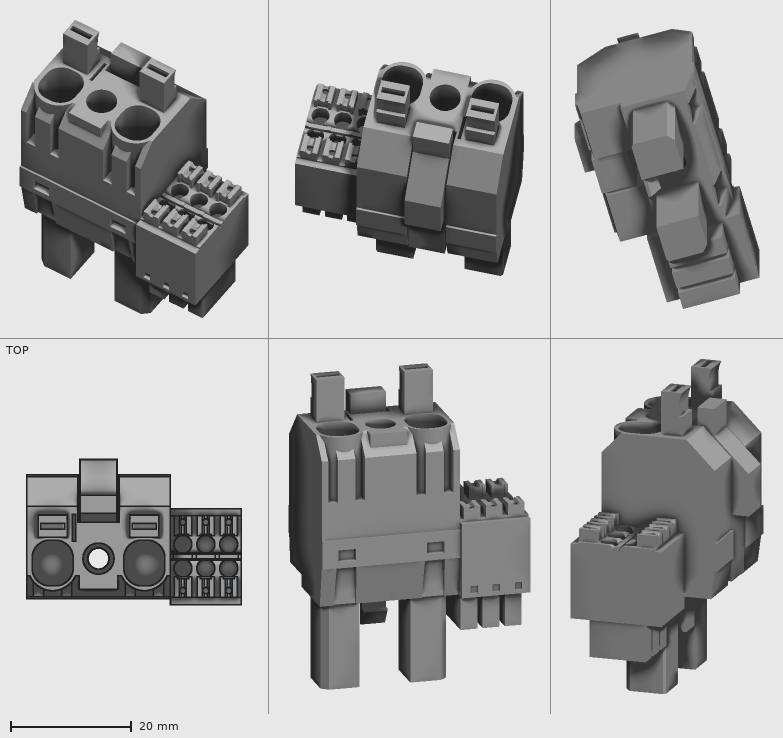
import cadquery as cq


POWER_WIDTH = 23.8
POWER_MID_X = POWER_WIDTH / 2
POLE_PITCH = 15.2
POLE_XS = [POWER_MID_X - POLE_PITCH / 2, POWER_MID_X + POLE_PITCH / 2]
POWER_DEPTH = 19.85
POWER_TOP = 44.7
POWER_BOTTOM = 15.4
REAR_BOTTOM = 17.55
FRONT_CHAMFER_Y = 3.45
FRONT_CHAMFER_Z = 3.6
REAR_CHAMFER = 4.9
BAND_TOP = 27.25
BAND_BOTTOM = 22.35
BAND_PROUD = 0.35
FRONT_TAPER = 1.2
REAR_TAPER = 0.6

ENTRY_WIDTH = 6.85
ENTRY_LENGTH = 7.6
ENTRY_CORNER_RADIUS = 2.95
ENTRY_FRONT_Y = 1.75
ENTRY_FLOOR = 31.25
SLEEVE_RADIUS = 4.15
SLEEVE_Y = 5.15
GROOVE_INNER = 1.5
GROOVE_OUTER = 3.2
GROOVE_FLOOR = 33.65

SCREW_Y = 6.3
SCREW_DIAMETER = 3.5
SCREW_HEAD_DIAMETER = 5.15
SCREW_HEAD_DEPTH = 10.4
BOSS_WIDTH = 6.35
BOSS_FRONT_Y = 1.2

WINDOW_WIDTH = 3.0
WINDOW_TOP = 25.5
WINDOW_BOTTOM = 23.45
WINDOW_DEPTH = 1.15
RECESS_TOP_WIDTH = 3.45
RECESS_BOTTOM_WIDTH = 3.85
RECESS_BACK_Y = FRONT_TAPER + 0.4
SLOT_X = 7.55
SLOT_WIDTH = 0.55
SLOT_FRONT_Y = 9.15
SLOT_LENGTH = 4.5
SLOT_DEPTH = 5.2

PRONG_WIDTH = 6.45
PRONG_FRONT_Y = 3.6
PRONG_REAR_Y = 10.85
PRONG_OUTER_EDGE = POLE_PITCH / 2 + 3.25
PRONG_BEVEL_X = 1.2
PRONG_BEVEL_Y = 1.05
PRONG_REAR_BEVEL = 0.35

CHANNEL_WIDTH = 6.8
CHANNEL_FRONT_Y = 12.35
LEVER_WIDTH = 6.15
LEVER_TOP = 47.75
LEVER_FRONT_Y = 13.8
LEVER_HEAD_REAR_Y = 16.8
LEVER_HEAD_REAR_Z = 43.0
LEVER_PAD_REAR_Y = 22.75
LEVER_PAD_TOP = 37.1
LEVER_PAD_BOTTOM = 29.75
LEVER_BOTTOM = 18.25
HINGE_TOP = 34.4
HINGE_BOTTOM = 30.2
HOOK_WIDTH = 4.15
HOOK_REAR_Y = 11.5
HOOK_BOTTOM = 8.4
HOOK_TIP_Y = 10.95
HOOK_NOSE_Y = 9.4
HOOK_NOSE_BOTTOM = 11.0
HOOK_NOSE_TOP = 11.35
HOOK_SHANK_Y = 10.15

BUTTON_WIDTH = 4.85
BUTTON_FRONT_Y = 9.85
BUTTON_REAR_Y = 13.6
BUTTON_TOP = 52.1
BUTTON_BOTTOM = 36.5
BUTTON_LEDGE = 48.0
BUTTON_GRIP_Y = 13.0
BUTTON_GRIP_TOP = 50
BUTTON_LIP_Y = 13.5
BUTTON_SLOT_WIDTH = 3.95
BUTTON_SLOT_FRONT_Y = 11.15
BUTTON_SLOT_LENGTH = 1.05
BUTTON_SLOT_DEPTH = 1.55

SIGNAL_RIGHT = 35.6
SIGNAL_MID_X = (POWER_WIDTH + SIGNAL_RIGHT) / 2
SIGNAL_PITCH = 3.8
SIGNAL_XS = [SIGNAL_MID_X + step * SIGNAL_PITCH for step in (-1, 0, 1)]
SIGNAL_FRONT_Y = -1.35
SIGNAL_REAR_Y = 14.6
SIGNAL_MID_Y = 6.65
SIGNAL_BOTTOM = 15.6
WALL_TOP = 28.5
DECK_TOP = 28.85
DECK_FRONT_Y = -0.1
DECK_EDGE_RADIUS = 0.8
VALLEY_HALF_WIDTH = 0.6
VALLEY_DEPTH = 1.05
VALLEY_FLOOR = DECK_TOP - VALLEY_DEPTH
FIN_HALF_WIDTH = 0.35
FIN_TOP = 28.65
FIN_NOTCH_WIDTH = 3.15
FIN_NOTCH_DEPTH = 0.15
SIGNAL_ENTRY_DIAMETER = 2.95
SIGNAL_ENTRY_Y = 4.7
SIGNAL_ENTRY_FLOOR = 26.05
SIGNAL_WINDOW_WIDTH = 1.25
SIGNAL_WINDOW_TOP = 17.55
SIGNAL_WINDOW_BOTTOM = 16.2
SIGNAL_WINDOW_DEPTH = 0.7
SIGNAL_PRONG_WIDTH = 2.9
SIGNAL_PRONG_FRONT_Y = 1.75
SIGNAL_PRONG_REAR_Y = 11.6
SIGNAL_PRONG_BOTTOM = 9.0

PUSHER_WIDTH = 2.85
PUSHER_REAR_Y = 3.3
PUSHER_TOP = 31.0
PUSHER_BOTTOM = 25
PUSHER_GROOVE_TOP_WIDTH = 1.2
PUSHER_GROOVE_FLOOR_WIDTH = 0.5
PUSHER_GROOVE_DEPTH = 0.45
PUSHER_HOLE_DIAMETER = 1.1
PUSHER_HOLE_Y = 1.1
PUSHER_HOLE_DEPTH = 1.05
PUSHER_NOTCH_WIDTH = 1.9
PUSHER_NOTCH_LENGTH = 0.3
PUSHER_NOTCH_DEPTH = 2.1


def block(x0, x1, y0, y1, z0, z1):
    """Box between two opposite corners."""
    return cq.Workplane("XY").box(x1 - x0, y1 - y0, z1 - z0, centered=False).translate((x0, y0, z0))


def centred_block(mid_x, width, y0, y1, z0, z1):
    """Box that is symmetric about a given X."""
    return block(mid_x - width / 2, mid_x + width / 2, y0, y1, z0, z1)


def side_profile(points, x0, width):
    """Closed (Y, Z) outline extruded along +X from x0."""
    return cq.Workplane("YZ", origin=(x0, 0, 0)).polyline(points).close().extrude(width)


def upright_cylinder(x, y, diameter, z0, z1):
    return cq.Workplane("XY", origin=(x, y, z0)).circle(diameter / 2).extrude(z1 - z0)


def mirrored_row(shape):
    """Copy of a front-row shape in the rear row of the signal housing."""
    return shape.mirror("XZ", (0, SIGNAL_MID_Y, 0))


def power_body():
    outline = [
        (FRONT_TAPER, POWER_BOTTOM),
        (0, BAND_BOTTOM),
        (-BAND_PROUD, BAND_BOTTOM),
        (-BAND_PROUD, BAND_TOP),
        (0, BAND_TOP),
        (0, POWER_TOP - FRONT_CHAMFER_Z),
        (FRONT_CHAMFER_Y, POWER_TOP),
        (POWER_DEPTH - REAR_CHAMFER, POWER_TOP),
        (POWER_DEPTH, POWER_TOP - REAR_CHAMFER),
        (POWER_DEPTH, BAND_TOP),
        (POWER_DEPTH + BAND_PROUD, BAND_TOP),
        (POWER_DEPTH + BAND_PROUD, BAND_BOTTOM),
        (POWER_DEPTH, BAND_BOTTOM),
        (POWER_DEPTH - REAR_TAPER, REAR_BOTTOM),
        (CHANNEL_FRONT_Y, REAR_BOTTOM),
        (CHANNEL_FRONT_Y, POWER_BOTTOM),
    ]
    return side_profile(outline, 0, POWER_WIDTH)


def sleeve(x):
    return upright_cylinder(x, SLEEVE_Y, 2 * SLEEVE_RADIUS, GROOVE_FLOOR, POWER_TOP)


def sleeve_groove(x, side):
    """Front groove beside the middle of a sleeve, open at the top."""
    near, far = sorted((x + side * GROOVE_INNER, x + side * GROOVE_OUTER))
    return block(near, far, 0, SLEEVE_Y, GROOVE_FLOOR, POWER_TOP)


def wire_entry(x):
    """Wire hole with generously rounded corners."""
    rear_y = ENTRY_FRONT_Y + ENTRY_LENGTH
    entry = centred_block(x, ENTRY_WIDTH, ENTRY_FRONT_Y, rear_y, ENTRY_FLOOR, POWER_TOP)
    return entry.edges("|Z").fillet(ENTRY_CORNER_RADIUS)


def lower_recess(x):
    """Upright recess in the tapered front, a little wider at the bottom."""
    half_top = RECESS_TOP_WIDTH / 2
    half_bottom = RECESS_BOTTOM_WIDTH / 2
    outline = [
        (x - half_bottom, POWER_BOTTOM),
        (x + half_bottom, POWER_BOTTOM),
        (x + half_top, BAND_BOTTOM),
        (x - half_top, BAND_BOTTOM),
    ]
    return cq.Workplane("XZ", origin=(0, RECESS_BACK_Y, 0)).polyline(outline).close().extrude(RECESS_BACK_Y)


def screw_hole():
    head = upright_cylinder(
        POWER_MID_X, SCREW_Y, SCREW_HEAD_DIAMETER, POWER_TOP - SCREW_HEAD_DEPTH, POWER_TOP
    )
    return head.union(upright_cylinder(POWER_MID_X, SCREW_Y, SCREW_DIAMETER, POWER_BOTTOM, POWER_TOP))


def prong(side):
    """Contact prong with both edges of its outer side bevelled; side is -1 for left, +1 for right."""
    outer = POWER_MID_X + side * PRONG_OUTER_EDGE
    inner = outer - side * PRONG_WIDTH
    outline = [
        (inner, PRONG_FRONT_Y),
        (outer - side * PRONG_BEVEL_X, PRONG_FRONT_Y),
        (outer, PRONG_FRONT_Y + PRONG_BEVEL_Y),
        (outer, PRONG_REAR_Y - PRONG_REAR_BEVEL),
        (outer - side * PRONG_REAR_BEVEL, PRONG_REAR_Y),
        (inner, PRONG_REAR_Y),
    ]
    return cq.Workplane("XY").polyline(outline).close().extrude(POWER_BOTTOM)


def locking_lever():
    """Lever in the rear channel, joined to the front of the channel by a hinge web."""
    outline = [
        (LEVER_FRONT_Y, LEVER_BOTTOM),
        (POWER_DEPTH, LEVER_BOTTOM),
        (POWER_DEPTH, LEVER_PAD_BOTTOM),
        (LEVER_PAD_REAR_Y, LEVER_PAD_BOTTOM),
        (LEVER_PAD_REAR_Y, LEVER_PAD_TOP),
        (LEVER_HEAD_REAR_Y, LEVER_HEAD_REAR_Z),
        (LEVER_HEAD_REAR_Y, LEVER_TOP),
        (LEVER_FRONT_Y, LEVER_TOP),
        (LEVER_FRONT_Y, HINGE_TOP),
        (CHANNEL_FRONT_Y, HINGE_TOP),
        (CHANNEL_FRONT_Y, HINGE_BOTTOM),
        (LEVER_FRONT_Y, HINGE_BOTTOM),
    ]
    return side_profile(outline, POWER_MID_X - LEVER_WIDTH / 2, LEVER_WIDTH)


def locking_hook():
    outline = [
        (HOOK_REAR_Y, POWER_BOTTOM),
        (HOOK_REAR_Y, HOOK_BOTTOM),
        (HOOK_TIP_Y, HOOK_BOTTOM),
        (HOOK_NOSE_Y, HOOK_NOSE_BOTTOM),
        (HOOK_NOSE_Y, HOOK_NOSE_TOP),
        (HOOK_SHANK_Y, HOOK_NOSE_TOP),
        (HOOK_SHANK_Y, POWER_BOTTOM),
    ]
    return side_profile(outline, POWER_MID_X - HOOK_WIDTH / 2, HOOK_WIDTH)


def make_power_housing():
    housing = power_body()
    for x in POLE_XS:
        for side in (-1, 1):
            housing = housing.cut(sleeve_groove(x, side))
        housing = housing.union(sleeve(x))
    boss_bottom = POWER_TOP - FRONT_CHAMFER_Z
    boss = centred_block(POWER_MID_X, BOSS_WIDTH, BOSS_FRONT_Y, SCREW_Y, boss_bottom, POWER_TOP)
    housing = housing.union(boss).cut(screw_hole())
    for x in POLE_XS:
        window = centred_block(
            x, WINDOW_WIDTH, -BAND_PROUD, WINDOW_DEPTH - BAND_PROUD, WINDOW_BOTTOM, WINDOW_TOP
        )
        button_seat = centred_block(
            x, BUTTON_WIDTH, BUTTON_FRONT_Y, BUTTON_REAR_Y, BUTTON_BOTTOM, POWER_TOP
        )
        housing = housing.cut(wire_entry(x)).cut(window).cut(lower_recess(x)).cut(button_seat)
    top_slot = block(
        SLOT_X,
        SLOT_X + SLOT_WIDTH,
        SLOT_FRONT_Y,
        SLOT_FRONT_Y + SLOT_LENGTH,
        POWER_TOP - SLOT_DEPTH,
        POWER_TOP,
    )
    channel = centred_block(
        POWER_MID_X, CHANNEL_WIDTH, CHANNEL_FRONT_Y, POWER_DEPTH + BAND_PROUD, POWER_BOTTOM, POWER_TOP
    )
    housing = housing.cut(top_slot).cut(channel)
    housing = housing.union(locking_lever()).union(locking_hook())
    for side in (-1, 1):
        housing = housing.union(prong(side))
    return housing


def make_power_button(x):
    button = (
        cq.Workplane("YZ", origin=(x - BUTTON_WIDTH / 2, 0, 0))
        .moveTo(BUTTON_FRONT_Y, BUTTON_BOTTOM)
        .lineTo(BUTTON_REAR_Y, BUTTON_BOTTOM)
        .lineTo(BUTTON_REAR_Y, BUTTON_LEDGE)
        .lineTo(BUTTON_GRIP_Y, BUTTON_LEDGE)
        .lineTo(BUTTON_GRIP_Y, BUTTON_GRIP_TOP)
        .tangentArcPoint((BUTTON_LIP_Y, BUTTON_TOP), relative=False)
        .lineTo(BUTTON_FRONT_Y, BUTTON_TOP)
        .close()
        .extrude(BUTTON_WIDTH)
    )
    slot_rear_y = BUTTON_SLOT_FRONT_Y + BUTTON_SLOT_LENGTH
    slot_floor = BUTTON_TOP - BUTTON_SLOT_DEPTH
    return button.cut(
        centred_block(x, BUTTON_SLOT_WIDTH, BUTTON_SLOT_FRONT_Y, slot_rear_y, slot_floor, BUTTON_TOP)
    )


def front_deck():
    """Raised deck of the front row, rounded along the edge of the central valley."""
    rear_y = SIGNAL_MID_Y - VALLEY_HALF_WIDTH
    deck = block(POWER_WIDTH, SIGNAL_RIGHT, DECK_FRONT_Y, rear_y, VALLEY_FLOOR, DECK_TOP)
    return deck.edges(">Y and >Z").fillet(DECK_EDGE_RADIUS)


def valley_fin():
    """Low fin along the valley, notched behind each pair of wire entries."""
    front_y = SIGNAL_MID_Y - FIN_HALF_WIDTH
    rear_y = SIGNAL_MID_Y + FIN_HALF_WIDTH
    fin = block(POWER_WIDTH, SIGNAL_RIGHT, front_y, rear_y, VALLEY_FLOOR, FIN_TOP)
    for x in SIGNAL_XS:
        fin = fin.cut(centred_block(x, FIN_NOTCH_WIDTH, front_y, rear_y, FIN_TOP - FIN_NOTCH_DEPTH, FIN_TOP))
    return fin


def signal_entry(x):
    """Round wire hole, flat on the sides next to the pusher and the valley."""
    hole = upright_cylinder(x, SIGNAL_ENTRY_Y, SIGNAL_ENTRY_DIAMETER, SIGNAL_ENTRY_FLOOR, DECK_TOP)
    flats = centred_block(
        x,
        SIGNAL_ENTRY_DIAMETER,
        PUSHER_REAR_Y,
        SIGNAL_MID_Y - VALLEY_HALF_WIDTH,
        SIGNAL_ENTRY_FLOOR,
        DECK_TOP,
    )
    return hole.intersect(flats)


def pusher_seat(x):
    return centred_block(x, PUSHER_WIDTH, DECK_FRONT_Y, PUSHER_REAR_Y, PUSHER_BOTTOM, DECK_TOP)


def make_signal_housing():
    housing = block(POWER_WIDTH, SIGNAL_RIGHT, SIGNAL_FRONT_Y, SIGNAL_REAR_Y, SIGNAL_BOTTOM, WALL_TOP)
    deck_rear_y = 2 * SIGNAL_MID_Y - DECK_FRONT_Y
    housing = housing.cut(
        block(POWER_WIDTH, SIGNAL_RIGHT, DECK_FRONT_Y, deck_rear_y, VALLEY_FLOOR, WALL_TOP)
    )
    deck = front_deck()
    housing = housing.union(deck).union(mirrored_row(deck)).union(valley_fin())
    for x in SIGNAL_XS:
        for cutter in (signal_entry(x), pusher_seat(x)):
            housing = housing.cut(cutter).cut(mirrored_row(cutter))
        window_back_y = SIGNAL_FRONT_Y + SIGNAL_WINDOW_DEPTH
        window = centred_block(
            x, SIGNAL_WINDOW_WIDTH, SIGNAL_FRONT_Y, window_back_y, SIGNAL_WINDOW_BOTTOM, SIGNAL_WINDOW_TOP
        )
        signal_prong = centred_block(
            x,
            SIGNAL_PRONG_WIDTH,
            SIGNAL_PRONG_FRONT_Y,
            SIGNAL_PRONG_REAR_Y,
            SIGNAL_PRONG_BOTTOM,
            SIGNAL_BOTTOM,
        )
        housing = housing.cut(window).union(signal_prong)
    return housing


def make_signal_pusher(x):
    """Front-row pusher with a V-shaped groove, a tool hole and a notch at the wire end."""
    pusher = centred_block(x, PUSHER_WIDTH, DECK_FRONT_Y, PUSHER_REAR_Y, PUSHER_BOTTOM, PUSHER_TOP)
    notch_front_y = PUSHER_REAR_Y - PUSHER_NOTCH_LENGTH
    groove_floor = PUSHER_TOP - PUSHER_GROOVE_DEPTH
    half_top = PUSHER_GROOVE_TOP_WIDTH / 2
    half_floor = PUSHER_GROOVE_FLOOR_WIDTH / 2
    groove_outline = [
        (x - half_floor, groove_floor),
        (x + half_floor, groove_floor),
        (x + half_top, PUSHER_TOP),
        (x - half_top, PUSHER_TOP),
    ]
    groove = (
        cq.Workplane("XZ", origin=(0, PUSHER_REAR_Y, 0))
        .polyline(groove_outline)
        .close()
        .extrude(PUSHER_REAR_Y - DECK_FRONT_Y)
    )
    hole = upright_cylinder(
        x, DECK_FRONT_Y + PUSHER_HOLE_Y, PUSHER_HOLE_DIAMETER, PUSHER_TOP - PUSHER_HOLE_DEPTH, PUSHER_TOP
    )
    notch_floor = PUSHER_TOP - PUSHER_NOTCH_DEPTH
    notch = centred_block(x, PUSHER_NOTCH_WIDTH, notch_front_y, PUSHER_REAR_Y, notch_floor, PUSHER_TOP)
    return pusher.cut(groove).cut(hole).cut(notch)


power_housing = make_power_housing()
power_buttons = [make_power_button(x) for x in POLE_XS]
signal_housing = make_signal_housing()
front_pushers = [make_signal_pusher(x) for x in SIGNAL_XS]
rear_pushers = [mirrored_row(pusher) for pusher in front_pushers]

result = cq.Compound.makeCompound(
    [power_housing.val(), signal_housing.val()]
    + [button.val() for button in power_buttons]
    + [pusher.val() for pusher in front_pushers + rear_pushers]
)